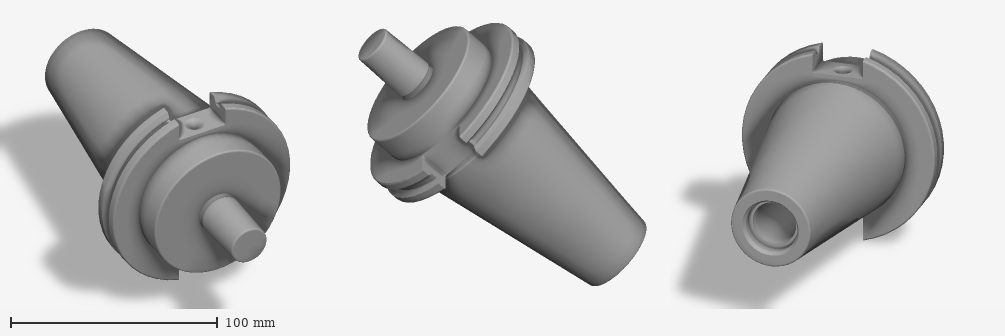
import cadquery as cq
import math

total_length = 167.6
gauge_x = 101.6
flange_start = 104.8
flange_width = 15.8
flange_end = flange_start + flange_width
flange_mid = flange_start + flange_width / 2
body_end = 136.5
edge_radius = 1.0

gauge_diameter = 69.9
taper_rate = 7 / 24
small_diameter = gauge_diameter - taper_rate * gauge_x
relief_diameter = 69.2
relief_chamfer = 1.0
relief_root_radius = 0.3

flange_diameter = 98.2
groove_bottom_diameter = 91.2
channel_half_width = 1.8
groove_half_width = 3.4
groove_angle = 60
bevel_depth = (groove_half_width - channel_half_width) * math.tan(math.radians(groove_angle))

slot_width = 25.6
slot_root_radius = 0.7
top_slot_floor = 37.5
bottom_slot_floor = 35.0
dimple_diameter = 9.5
drill_point_angle = 118

neck_diameter = 20.0
stub_diameter = 21.0
stub_end_diameter = 19.5
neck_start = body_end + 1.0
neck_end = neck_start + 1.0
stub_start = neck_end + 1.0

bore_mouth_diameter = 28.7
counterbore_diameter = 26.2
bore_diameter = 22.0
mouth_depth = 2.0
counterbore_depth = 6.4
bore_depth = 50.3


def drill_point_height(diameter):
    return diameter / 2 / math.tan(math.radians(drill_point_angle / 2))


def revolve_stations(stations):
    """Revolve (x, diameter) stations about the X axis, closing onto the axis at both ends."""
    outline = [(x, diameter / 2) for x, diameter in stations]
    outline.insert(0, (stations[0][0], 0))
    if stations[-1][1] > 0:
        outline.append((stations[-1][0], 0))
    return cq.Workplane("XY").polyline(outline).close().revolve(360, (0, 0), (1, 0))


def make_taper():
    taper = revolve_stations([(0, small_diameter), (gauge_x, gauge_diameter)])
    taper = taper.faces("<X").edges().fillet(edge_radius)
    relief = revolve_stations([
        (gauge_x, gauge_diameter),
        (gauge_x + relief_chamfer, relief_diameter),
        (flange_start, relief_diameter),
    ])
    return taper.union(relief)


def make_flange():
    bevel_diameter = flange_diameter - 2 * bevel_depth
    flange = revolve_stations([
        (flange_start, flange_diameter),
        (flange_mid - groove_half_width, flange_diameter),
        (flange_mid - channel_half_width, bevel_diameter),
        (flange_mid - channel_half_width, groove_bottom_diameter),
        (flange_mid + channel_half_width, groove_bottom_diameter),
        (flange_mid + channel_half_width, bevel_diameter),
        (flange_mid + groove_half_width, flange_diameter),
        (flange_end, flange_diameter),
    ])
    return flange.faces("<X or >X").edges().fillet(edge_radius)


def make_relief_root():
    """Ring with a concave arc that blends the relief into the flange face."""
    relief_radius = relief_diameter / 2
    arc_offset = relief_root_radius * (1 - math.sqrt(0.5))
    return (
        cq.Workplane("XY")
        .moveTo(flange_start - relief_root_radius, relief_radius)
        .threePointArc(
            (flange_start - arc_offset, relief_radius + arc_offset),
            (flange_start, relief_radius + relief_root_radius),
        )
        .lineTo(flange_start, relief_radius)
        .close()
        .revolve(360, (0, 0), (1, 0))
    )


def make_body():
    body = revolve_stations([(flange_end, gauge_diameter), (body_end, gauge_diameter)])
    return body.faces(">X").edges().fillet(edge_radius)


def make_stub():
    stub = revolve_stations([
        (body_end, stub_diameter),
        (neck_start, neck_diameter),
        (neck_end, neck_diameter),
        (stub_start, stub_diameter),
        (total_length, stub_end_diameter),
    ])
    return stub.faces(">X").edges().fillet(edge_radius)


def make_bore():
    return revolve_stations([
        (0, bore_mouth_diameter),
        (mouth_depth, counterbore_diameter),
        (counterbore_depth, counterbore_diameter),
        (counterbore_depth, bore_diameter),
        (bore_depth, bore_diameter),
        (bore_depth + drill_point_height(bore_diameter), 0),
    ])


def make_slot(floor, side):
    """Cutter for a drive slot; side is +1 above the axis and -1 below it."""
    height = flange_diameter / 2 - floor
    center_z = side * (floor + height / 2)
    cutter = cq.Workplane("XY").box(flange_width, slot_width, height).translate((flange_mid, 0, center_z))
    floor_face = "<Z" if side > 0 else ">Z"
    return cutter.faces(floor_face).edges("|X").fillet(slot_root_radius)


def make_dimple():
    """Conical dimple in the floor of the upper slot."""
    depth = drill_point_height(dimple_diameter)
    cone = cq.Solid.makeCone(
        dimple_diameter / 2, 0, depth, cq.Vector(flange_mid, 0, top_slot_floor), cq.Vector(0, 0, -1)
    )
    return cq.Workplane(cone)


result = make_taper().union(make_relief_root()).union(make_flange())
result = result.union(make_body()).union(make_stub())
result = result.cut(make_bore())
result = result.cut(make_slot(top_slot_floor, 1))
result = result.cut(make_slot(bottom_slot_floor, -1))
result = result.cut(make_dimple())